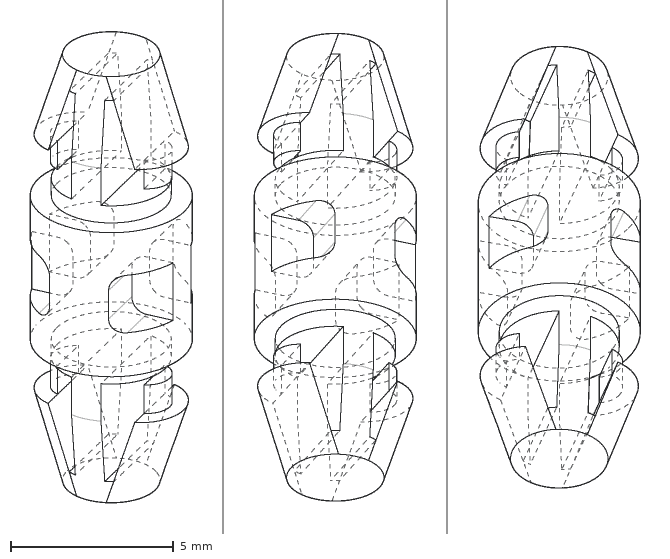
import cadquery as cq
import math

half_length = 7.4
body_diameter = 5.0
body_half_height = body_diameter / 2

neck_radius = 3.7 / 2
neck_top = 3.1
web_thickness = 1.0

tip_radius = 3.0 / 2
cap_underside = 6.62
barb_bottom = 4.4
arm_inner_x = web_thickness / 2
arm_angle = 18.0
barb_height = half_length - barb_bottom
arm_spread = barb_height * math.tan(math.radians(arm_angle))
barb_inner_x = arm_inner_x + arm_spread

pin_bottom = 3.4
pin_radius = 0.78
pin_center_x = 1.21

window_height = 2.0
window_x = 1.0
window_y = 0.64
window_fillet = 0.5


def cylinder(radius, bottom, top):
    return cq.Workplane("XY").workplane(offset=bottom).circle(radius).extrude(top - bottom)


def make_envelope():
    """Neck that tapers from the barb level to the tip."""
    profile = [
        (0, 0),
        (neck_radius, 0),
        (neck_radius, barb_bottom),
        (tip_radius, half_length),
        (0, half_length),
    ]
    return cq.Workplane("XZ").polyline(profile).close().revolve(360, (0, 0, 0), (0, 1, 0))


def make_core():
    """Neck, flat web and the cap that fits between the two arms."""
    neck = cq.Workplane("XY").box(body_diameter, body_diameter, neck_top, centered=(True, True, False))
    web = cq.Workplane("XY").box(web_thickness, body_diameter, half_length, centered=(True, True, False))
    cap_half_width = arm_inner_x + (half_length - cap_underside) * arm_spread / barb_height
    cap = (
        cq.Workplane("XZ")
        .polyline([
            (-cap_half_width, cap_underside),
            (cap_half_width, cap_underside),
            (arm_inner_x, half_length),
            (-arm_inner_x, half_length),
        ])
        .close()
        .extrude(body_diameter / 2, both=True)
    )
    return make_envelope().intersect(neck.union(web).union(cap))


def make_arm():
    """Circular segment of the tip swept along a slant, with a pin under its barb."""
    half_chord = math.sqrt(tip_radius**2 - arm_inner_x**2)
    barb_outer_x = tip_radius + arm_spread
    arm = (
        cq.Workplane("XY")
        .workplane(offset=barb_bottom)
        .moveTo(barb_inner_x, -half_chord)
        .threePointArc((barb_outer_x, 0), (barb_inner_x, half_chord))
        .close()
        .workplane(offset=barb_height)
        .moveTo(arm_inner_x, -half_chord)
        .threePointArc((tip_radius, 0), (arm_inner_x, half_chord))
        .close()
        .loft(ruled=True)
    )
    pin_side = cq.Workplane("XY").box(
        body_diameter, body_diameter, half_length, centered=(False, True, False)
    ).translate((barb_inner_x, 0, 0))
    pin = cylinder(pin_radius, pin_bottom, barb_bottom).translate((pin_center_x, 0, 0)).intersect(pin_side)
    return arm.union(pin)


def make_window():
    """Corner pocket in the +X, +Y quadrant, rounded along its inner wall."""
    return (
        cq.Workplane("XY")
        .box(body_diameter, body_diameter, window_height, centered=(False, False, True))
        .edges("<X and |Y")
        .fillet(window_fillet)
        .translate((window_x, window_y, 0))
    )


def make_body():
    body = cylinder(body_diameter / 2, -body_half_height, body_half_height)
    window = make_window()
    mirrored_window = window.mirror("YZ")
    for cutter in (window, mirrored_window):
        body = body.cut(cutter).cut(cutter.mirror("XZ"))
    return body


arm = make_arm()
head = make_core().union(arm).union(arm.mirror("YZ"))
head = head.cut(cylinder(body_diameter, 0, body_half_height))

result = make_body().union(head).union(head.mirror("XY"))